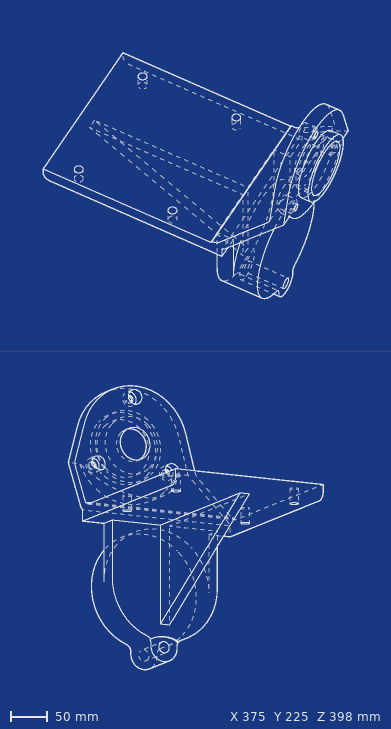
import cadquery as cq
import math


plate_length = 276.0
plate_width = 225.0
plate_thickness = 20.5
plate_edge_radius = 11.0
plate_hole_diameter = 12.0
plate_hole_x = (42.5, 187.5)
plate_hole_y = 90.0

hub_radius = 80.0
hub_start_x = 250.7
hub_length = 62.5
hub_end_x = hub_start_x + hub_length
hub_z = -hub_radius
lug_radius = 20.0
lug_hole_diameter = 15.5
lug_z = -168.0
lug_fillet = 10.0
lug_recess = 2.5
lug_recess_radius = 45.8
lug_recess_top_z = -153.5

rib_start_x = 14.0
rib_depth = 137.0
rib_thickness = 14.0

total_length = 375.0
flange_start_x = 338.5
flange_end_x = 359.8
flange_radius = hub_radius
flange_z = 130.0
lip_start_x = 260.0
lip_height = 2.5
bracket_base_z = plate_thickness + lip_height
slope_thickness = 11.5
lip_bend_radius = 10.0
flange_bend_radius = 10.7
outer_bend_z = 99.0
pilot_radius = 49.7
bore_diameter = 45.0
bore_length = 11.5
pocket_radius = 39.8
bolt_circle_radius = 65.0
bolt_count = 3
bolt_hole_diameter = 10.5
counterbore_diameter = 20.3
counterbore_depth = 17.0


def cylinder_x(radius, start_x, end_x, y, z):
    """Solid cylinder along X."""
    return cq.Workplane("YZ", origin=(start_x, y, z)).circle(radius).extrude(end_x - start_x)


def make_plate():
    plate = cq.Workplane("XY").box(
        plate_length, plate_width, plate_thickness, centered=(False, True, False)
    )
    plate = plate.edges("<X and <Z").fillet(plate_edge_radius)
    holes = (
        cq.Workplane("XY")
        .pushPoints([(x, side * plate_hole_y) for x in plate_hole_x for side in (-1, 1)])
        .circle(plate_hole_diameter / 2)
        .extrude(plate_thickness)
    )
    return plate.cut(holes)


def make_hub():
    hub = cylinder_x(hub_radius, hub_start_x, hub_end_x, 0, hub_z)
    lug = cylinder_x(lug_radius, hub_start_x, hub_end_x, 0, lug_z)
    lug_neck = cq.Workplane("XY", origin=(hub_start_x, 0, lug_z)).box(
        hub_length, 2 * lug_radius, hub_z - lug_z, centered=(False, True, False)
    )
    hub = hub.union(lug).union(lug_neck)

    corner_z = hub_z - math.sqrt(hub_radius**2 - lug_radius**2)
    for side in (-1, 1):
        corner = (hub_start_x + hub_length / 2, side * lug_radius, corner_z)
        hub = hub.edges(cq.selectors.NearestToPointSelector(corner)).fillet(lug_fillet)

    recess = cylinder_x(
        lug_recess_radius, hub_start_x, hub_start_x + lug_recess,
        0, lug_recess_top_z - lug_recess_radius,
    )
    lug_hole = cylinder_x(lug_hole_diameter / 2, hub_start_x, hub_end_x, 0, lug_z)
    hub = hub.cut(recess).cut(lug_hole)

    shoulders = cq.Workplane("XY", origin=(hub_start_x, 0, hub_z)).box(
        plate_length - hub_start_x, 2 * hub_radius, hub_radius, centered=(False, True, False)
    )
    return hub.union(shoulders)


def make_rib():
    return (
        cq.Workplane("XZ")
        .polyline([(rib_start_x, 0), (hub_start_x, 0), (hub_start_x, -rib_depth)])
        .close()
        .extrude(rib_thickness / 2, both=True)
    )


def make_bent_sheet():
    """Lip, 45 degree slope and upright flange, trimmed to the tapered outline."""
    top_z = flange_z + flange_radius
    outer_offset = flange_end_x - outer_bend_z
    inner_offset = outer_offset - slope_thickness * math.sqrt(2)
    inner_bend_z = flange_start_x - inner_offset
    lip_bend_x = bracket_base_z + inner_offset
    slope_foot_z = plate_length - outer_offset
    sheet = (
        cq.Workplane("XZ")
        .moveTo(lip_start_x, slope_foot_z)
        .lineTo(lip_start_x, bracket_base_z)
        .lineTo(lip_bend_x, bracket_base_z)
        .lineTo(flange_start_x, inner_bend_z)
        .lineTo(flange_start_x, top_z)
        .lineTo(flange_end_x, top_z)
        .lineTo(flange_end_x, outer_bend_z)
        .lineTo(plate_length, slope_foot_z)
        .close()
        .extrude(plate_width / 2, both=True)
    )
    bends = (
        ((lip_bend_x, 0, bracket_base_z), lip_bend_radius),
        ((flange_start_x, 0, inner_bend_z), flange_bend_radius),
    )
    for corner, radius in bends:
        sheet = sheet.edges(cq.selectors.NearestToPointSelector(corner)).fillet(radius)

    half_width = plate_width / 2
    rise = flange_z - plate_thickness
    corner_distance = math.hypot(half_width, rise)
    tangent_angle = math.acos(flange_radius / corner_distance) - math.atan2(rise, half_width)
    tangent_y = flange_radius * math.cos(tangent_angle)
    tangent_z = flange_z + flange_radius * math.sin(tangent_angle)
    outline = (
        cq.Workplane("YZ", origin=(lip_start_x, 0, 0))
        .moveTo(-half_width, 0)
        .lineTo(half_width, 0)
        .lineTo(half_width, plate_thickness)
        .lineTo(tangent_y, tangent_z)
        .threePointArc((0, top_z), (-tangent_y, tangent_z))
        .lineTo(-half_width, plate_thickness)
        .close()
        .extrude(flange_end_x - lip_start_x)
    )

    backing_profile = (
        cq.Workplane("XZ")
        .moveTo(flange_end_x, outer_bend_z)
        .lineTo(flange_end_x, flange_z - flange_radius)
        .lineTo(flange_z - flange_radius + outer_offset, flange_z - flange_radius)
        .close()
        .extrude(flange_radius, both=True)
    )
    full_round = cylinder_x(flange_radius, lip_start_x, flange_end_x, 0, flange_z)
    backing = backing_profile.intersect(full_round)
    return sheet.intersect(outline).union(backing)


def make_bracket():
    pilot = cylinder_x(pilot_radius, flange_end_x, total_length, 0, flange_z)
    bracket = make_bent_sheet().union(pilot)
    bracket = bracket.cut(cylinder_x(bore_diameter / 2, lip_start_x, flange_end_x, 0, flange_z))

    pocket_start_x = flange_start_x + bore_length
    bracket = bracket.cut(cylinder_x(pocket_radius, pocket_start_x, total_length, 0, flange_z))

    for index in range(bolt_count):
        angle = math.pi / 2 + index * 2 * math.pi / bolt_count
        y = bolt_circle_radius * math.cos(angle)
        z = flange_z + bolt_circle_radius * math.sin(angle)
        bolt_hole = cylinder_x(bolt_hole_diameter / 2, lip_start_x, flange_end_x, y, z)
        counterbore = cylinder_x(
            counterbore_diameter / 2, lip_start_x, flange_start_x + counterbore_depth, y, z
        )
        bracket = bracket.cut(bolt_hole).cut(counterbore)
    return bracket


result = make_plate().union(make_hub()).union(make_rib()).union(make_bracket())